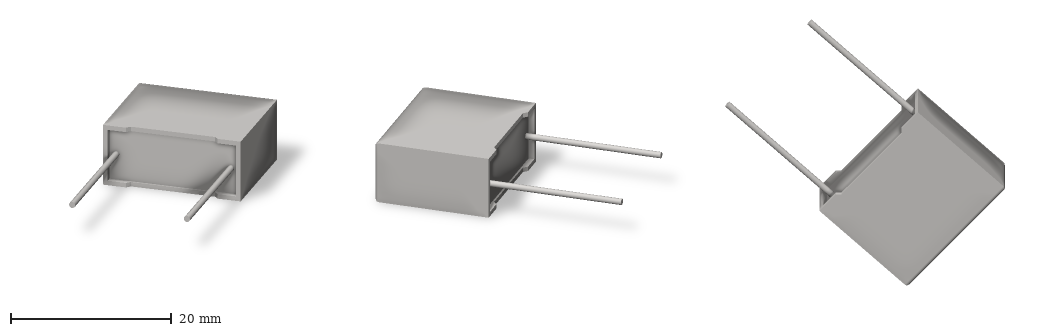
import cadquery as cq

case_width = 18.0
case_depth = 15.0
case_height = 8.01
wall = 0.6
back_edge_radius = 0.5

notch_depth = 0.5
notch_margin = 3.0
notch_slope_run = 0.5

resin_recess = 0.75

lead_pitch = 15.0
lead_diameter = 0.8
lead_reach = 17.0

cavity_width = case_width - 2 * wall
cavity_height = case_height - 2 * wall


def block(width, height, y_start, y_end):
    """Box centred on X and Z that spans y_start to y_end."""
    return (
        cq.Workplane("XY")
        .box(width, y_end - y_start, height, centered=(True, False, True))
        .translate((0, y_start, 0))
    )


def make_rim_notch():
    rim_half_width = case_width / 2 - notch_margin
    floor_half_width = rim_half_width - notch_slope_run
    return (
        cq.Workplane("XY")
        .polyline([
            (-rim_half_width, 0),
            (rim_half_width, 0),
            (floor_half_width, notch_depth),
            (-floor_half_width, notch_depth),
        ])
        .close()
        .extrude(case_height / 2, both=True)
    )


def make_case():
    shell = block(case_width, case_height, 0, case_depth)
    shell = shell.faces(">Y").edges().fillet(back_edge_radius)
    cavity = block(cavity_width, cavity_height, 0, case_depth - wall)
    return shell.cut(cavity).cut(make_rim_notch())


def make_resin():
    return block(cavity_width, cavity_height, resin_recess, case_depth - wall)


def make_lead(x):
    """Round wire that runs from the resin face to its free end in front of the rim."""
    return (
        cq.Workplane("XZ", origin=(x, resin_recess, 0))
        .circle(lead_diameter / 2)
        .extrude(resin_recess + lead_reach)
    )


case = make_case()
resin = make_resin()
leads = [make_lead(side * lead_pitch / 2) for side in (-1, 1)]

result = cq.Compound.makeCompound([case.val(), resin.val(), *[lead.val() for lead in leads]])